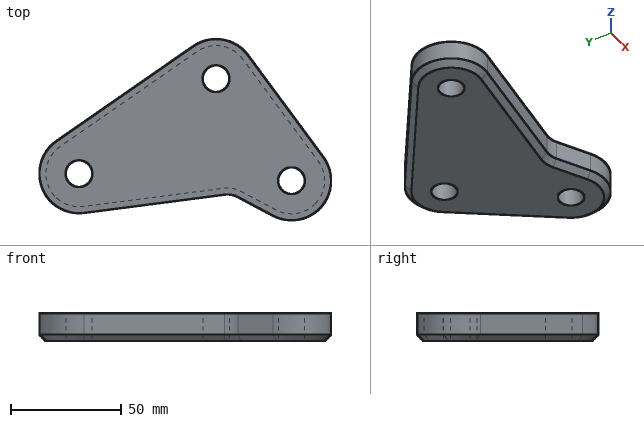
import cadquery as cq
import math

thickness = 12.7
bottom_chamfer = 3.0
lobe_radius = 18.0
hole_diameter = 12.0

left_hole = (0.0, 0.0)
upper_hole = (62.1, 43.05)
right_hole = (96.3, -3.2)
hole_centres = [left_hole, upper_hole, right_hole]

long_side_angle = math.radians(7.4)
short_side_angle = math.radians(-28.0)
recess_radius = 10.0


def offset_point(centre, angle, distance):
    """Point at a given direction and distance from a centre."""
    return (
        centre[0] + distance * math.cos(angle),
        centre[1] + distance * math.sin(angle),
    )


def direction(start, end):
    """Direction from one point to another, in radians."""
    return math.atan2(end[1] - start[1], end[0] - start[0])


def lobe_point(centre, angle):
    """Point on the rounded end around a hole centre, at a given direction."""
    return offset_point(centre, angle, lobe_radius)


def intersection(first, first_angle, second, second_angle):
    """Crossing point of two lines, each given by a point and a direction."""
    dx = second[0] - first[0]
    dy = second[1] - first[1]
    cross = math.sin(second_angle - first_angle)
    distance = (dx * math.sin(second_angle) - dy * math.cos(second_angle)) / cross
    return offset_point(first, first_angle, distance)


def make_plate():
    """Three-lobed plate with a chamfer around its bottom face."""
    quarter_turn = math.pi / 2
    upper_left_normal = direction(left_hole, upper_hole) + quarter_turn
    upper_right_normal = direction(upper_hole, right_hole) + quarter_turn
    long_side_normal = long_side_angle - quarter_turn
    short_side_normal = short_side_angle - quarter_turn

    long_side_start = lobe_point(left_hole, long_side_normal)
    short_side_end = lobe_point(right_hole, short_side_normal)
    recess_corner = intersection(
        long_side_start, long_side_angle, short_side_end, short_side_angle
    )

    turn = long_side_angle - short_side_angle
    setback = recess_radius * math.tan(turn / 2)
    blend_start = offset_point(recess_corner, long_side_angle + math.pi, setback)
    blend_end = offset_point(recess_corner, short_side_angle, setback)
    blend_centre = offset_point(blend_start, long_side_normal, recess_radius)
    blend_mid_angle = quarter_turn + (long_side_angle + short_side_angle) / 2
    blend_middle = offset_point(blend_centre, blend_mid_angle, recess_radius)

    outline = (
        cq.Workplane("XY")
        .moveTo(*long_side_start)
        .lineTo(*blend_start)
        .threePointArc(blend_middle, blend_end)
        .lineTo(*short_side_end)
        .threePointArc(
            lobe_point(right_hole, (short_side_normal + upper_right_normal) / 2),
            lobe_point(right_hole, upper_right_normal),
        )
        .lineTo(*lobe_point(upper_hole, upper_right_normal))
        .threePointArc(
            lobe_point(upper_hole, (upper_right_normal + upper_left_normal) / 2),
            lobe_point(upper_hole, upper_left_normal),
        )
        .lineTo(*lobe_point(left_hole, upper_left_normal))
        .threePointArc(lobe_point(left_hole, math.pi), long_side_start)
        .close()
    )
    return outline.extrude(thickness).faces("<Z").chamfer(bottom_chamfer)


def make_holes():
    """One through-hole cylinder at each lobe centre."""
    holes = cq.Workplane("XY").pushPoints(hole_centres)
    return holes.circle(hole_diameter / 2).extrude(thickness)


result = make_plate().cut(make_holes())